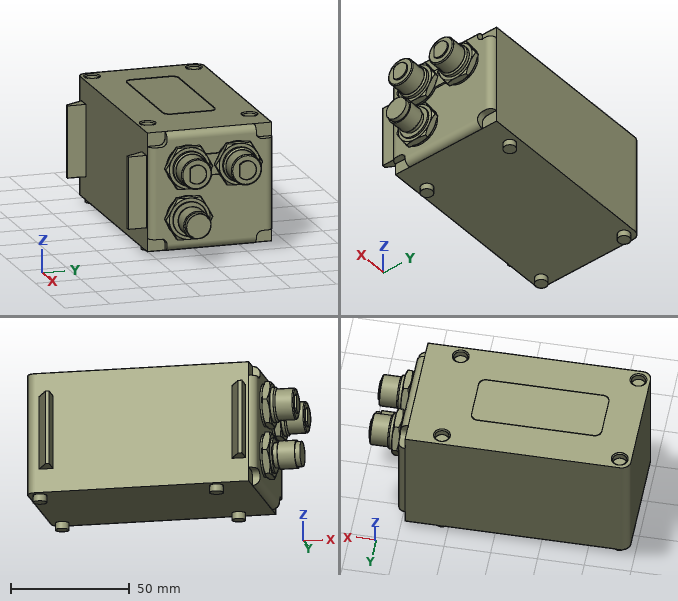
import cadquery as cq
import math

HOUSING_LENGTH = 95.9
HOUSING_WIDTH = 55.0
HOUSING_HEIGHT = 52.0
HOUSING_CORNER_RADIUS = 3.9

PIN_DIAMETER = 5.8
PIN_LENGTH = 3.0
PIN_FIRST_X = 5.0
PIN_PITCH_X = 76.0
PIN_PITCH_Y = 45.0
SOCKET_DIAMETER = 6.0
SOCKET_DEPTH = 3.0
SOCKET_CHAMFER = 0.52

LABEL_LENGTH = 55.7
LABEL_WIDTH = 23.0
LABEL_START_X = 15.1
LABEL_CORNER_RADIUS = 3.0
LABEL_DEPTH = 0.2

HOOK_FIRST_X = 5.7
HOOK_PITCH = 82.9
HOOK_BASE_WIDTH = 6.0
HOOK_TIP_WIDTH = 1.6
HOOK_REACH = 8.0
HOOK_HEIGHT = 31.6

COVER_THICKNESS = 3.2
NOTCH_WIDTH = 7.7
NOTCH_HEIGHT = 5.9
NOTCH_RADIUS = 2.8
COVER_FACE_X = HOUSING_LENGTH + COVER_THICKNESS

CONNECTOR_PITCH = 22.1
WASHER_DIAMETER = 18.2
WASHER_THICKNESS = 0.8
NUT_ACROSS_FLATS = 18.0
NUT_THICKNESS = 3.1
NUT_CHAMFER_ANGLE = 25
NUT_ACROSS_CORNERS = NUT_ACROSS_FLATS / math.cos(math.pi / 6)
COLLAR_DIAMETER = 15.0
NUT_START_X = COVER_FACE_X + WASHER_THICKNESS
NUT_END_X = NUT_START_X + NUT_THICKNESS

RECEPTACLE_COLLAR_END_X = 105.1
RECEPTACLE_COLLAR_CHAMFER = 0.7
SLEEVE_DIAMETER = 13.4
SLEEVE_END_X = 112.8
SLEEVE_CHAMFER = 0.5
INSERT_DIAMETER = 8.2
INSERT_FLAT_OFFSET = 3.1
INSERT_END_X = 113.5

PLUG_COLLAR_END_X = 103.8
PLUG_NECK_DIAMETER = 10.7
PLUG_RING_DIAMETER = 12.0
PLUG_RING_START_X = 105.8
PLUG_RING_END_X = 113.3
PLUG_TIP_DIAMETER = 10.7
PLUG_END_X = 115.5

WEB_HEIGHT = 9.2

PIN_POSITIONS = [
    (PIN_FIRST_X + i * PIN_PITCH_X, side * PIN_PITCH_Y / 2) for i in range(2) for side in (-1, 1)
]
CONNECTOR_OFFSET = CONNECTOR_PITCH / 2
UPPER_Z = HOUSING_HEIGHT / 2 + CONNECTOR_OFFSET
LOWER_Z = HOUSING_HEIGHT / 2 - CONNECTOR_OFFSET


def block(length):
    """Plain block with the housing cross-section, from X = 0 to the given length."""
    return cq.Workplane("XY").box(
        length, HOUSING_WIDTH, HOUSING_HEIGHT, centered=(False, True, False)
    )


def disc(diameter, start_x, end_x):
    """Round step along +X on the connector axis."""
    return cq.Workplane("YZ", origin=(start_x, 0, 0)).circle(diameter / 2).extrude(end_x - start_x)


def hook(start_x):
    """Wedge standing out of the -Y face, steep on its +X side."""
    face_y = -HOUSING_WIDTH / 2
    end_x = start_x + HOOK_BASE_WIDTH
    outline = [
        (start_x, face_y),
        (end_x, face_y),
        (end_x, face_y - HOOK_REACH),
        (end_x - HOOK_TIP_WIDTH, face_y - HOOK_REACH),
    ]
    bottom_z = (HOUSING_HEIGHT - HOOK_HEIGHT) / 2
    return cq.Workplane("XY", origin=(0, 0, bottom_z)).polyline(outline).close().extrude(HOOK_HEIGHT)


def sockets():
    """Cutter for the four chamfered blind holes in the top face."""
    mouth_diameter = SOCKET_DIAMETER + 2 * SOCKET_CHAMFER
    top = cq.Workplane("XY", origin=(0, 0, HOUSING_HEIGHT)).pushPoints(PIN_POSITIONS)
    holes = top.circle(SOCKET_DIAMETER / 2).extrude(-SOCKET_DEPTH)
    mouths = top.circle(mouth_diameter / 2).extrude(-SOCKET_CHAMFER, taper=45)
    return holes.union(mouths)


def label_recess():
    """Cutter for the rounded rectangular recess in the top face."""
    middle = (LABEL_START_X + LABEL_LENGTH / 2, 0, HOUSING_HEIGHT - LABEL_DEPTH)
    plate = cq.Workplane("XY", origin=middle).rect(LABEL_LENGTH, LABEL_WIDTH).extrude(LABEL_DEPTH)
    return plate.edges("|Z").fillet(LABEL_CORNER_RADIUS)


def make_housing():
    """Housing block with its foot pins and hooks, opened by the sockets and the label recess."""
    body = block(HOUSING_LENGTH).edges("|Z and <X").fillet(HOUSING_CORNER_RADIUS)
    pins = cq.Workplane("XY").pushPoints(PIN_POSITIONS).circle(PIN_DIAMETER / 2).extrude(-PIN_LENGTH)
    body = body.union(pins)
    for i in range(2):
        body = body.union(hook(HOOK_FIRST_X + i * HOOK_PITCH))
    return body.cut(sockets()).cut(label_recess())


def corner_notch(side_y, side_z):
    """Cutter for one cover corner, rounded along its inner edge."""
    corner = (
        HOUSING_LENGTH,
        side_y * HOUSING_WIDTH / 2,
        HOUSING_HEIGHT / 2 + side_z * HOUSING_HEIGHT / 2,
    )
    bar = cq.Workplane("YZ", origin=corner).rect(2 * NOTCH_WIDTH, 2 * NOTCH_HEIGHT)
    return bar.extrude(COVER_THICKNESS).edges("|X").fillet(NOTCH_RADIUS)


def cover_plate():
    """Plate whose outer rim is fully rounded and whose corners are notched."""
    plate = block(COVER_FACE_X).faces(">X").edges().fillet(COVER_THICKNESS).cut(block(HOUSING_LENGTH))
    for side_y in (-1, 1):
        for side_z in (-1, 1):
            plate = plate.cut(corner_notch(side_y, side_z))
    return plate


def washer_and_nut():
    """Washer and hexagon nut; the nut has a vertex towards +Y and both faces chamfered."""
    nut = cq.Workplane("YZ", origin=(NUT_START_X, 0, 0)).polygon(6, NUT_ACROSS_CORNERS)
    nut = nut.extrude(NUT_THICKNESS)
    corner_height = (NUT_ACROSS_CORNERS - NUT_ACROSS_FLATS) / 2
    chamfer_depth = corner_height * math.tan(math.radians(NUT_CHAMFER_ANGLE))
    rim = disc(NUT_ACROSS_CORNERS, NUT_START_X, NUT_END_X)
    rim = rim.faces("<X").edges().chamfer(chamfer_depth, corner_height)
    rim = rim.faces(">X").edges().chamfer(chamfer_depth, corner_height)
    return disc(WASHER_DIAMETER, COVER_FACE_X, NUT_START_X).union(nut.intersect(rim))


def receptacle():
    """Wide connector on the +X axis that ends in a round insert with one flat on its -Y side."""
    collar = disc(COLLAR_DIAMETER, NUT_END_X, RECEPTACLE_COLLAR_END_X)
    collar = collar.faces(">X").edges().chamfer(RECEPTACLE_COLLAR_CHAMFER)
    sleeve = disc(SLEEVE_DIAMETER, RECEPTACLE_COLLAR_END_X, SLEEVE_END_X)
    sleeve = sleeve.faces(">X").edges().chamfer(SLEEVE_CHAMFER)
    insert = disc(INSERT_DIAMETER, SLEEVE_END_X, INSERT_END_X)
    beyond_flat = cq.Workplane("XY", origin=(SLEEVE_END_X, -INSERT_FLAT_OFFSET, 0)).box(
        INSERT_END_X - SLEEVE_END_X, INSERT_DIAMETER, INSERT_DIAMETER, centered=(False, True, True)
    )
    insert = insert.cut(beyond_flat.translate((0, -INSERT_DIAMETER / 2, 0)))
    return washer_and_nut().union(collar).union(sleeve).union(insert)


def plug():
    """Slim connector on the +X axis with a larger ring between its neck and its tip."""
    collar = disc(COLLAR_DIAMETER, NUT_END_X, PLUG_COLLAR_END_X)
    neck = disc(PLUG_NECK_DIAMETER, PLUG_COLLAR_END_X, PLUG_RING_START_X)
    ring = disc(PLUG_RING_DIAMETER, PLUG_RING_START_X, PLUG_RING_END_X)
    tip = disc(PLUG_TIP_DIAMETER, PLUG_RING_END_X, PLUG_END_X)
    return washer_and_nut().union(collar).union(neck).union(ring).union(tip)


def washer_web():
    """Low web that joins the washers of the two receptacles."""
    return cq.Workplane("XY", origin=(COVER_FACE_X, 0, UPPER_Z)).box(
        WASHER_THICKNESS, CONNECTOR_PITCH, WEB_HEIGHT, centered=(False, True, True)
    )


def make_connector_cover():
    """Cover plate in one piece with two upper receptacles and one plug below the -Y one."""
    cover = cover_plate().union(washer_web())
    for side in (-1, 1):
        cover = cover.union(receptacle().translate((0, side * CONNECTOR_OFFSET, UPPER_Z)))
    return cover.union(plug().translate((0, -CONNECTOR_OFFSET, LOWER_Z)))


housing = make_housing()
connector_cover = make_connector_cover()
result = cq.Compound.makeCompound([housing.solids().val(), connector_cover.solids().val()])